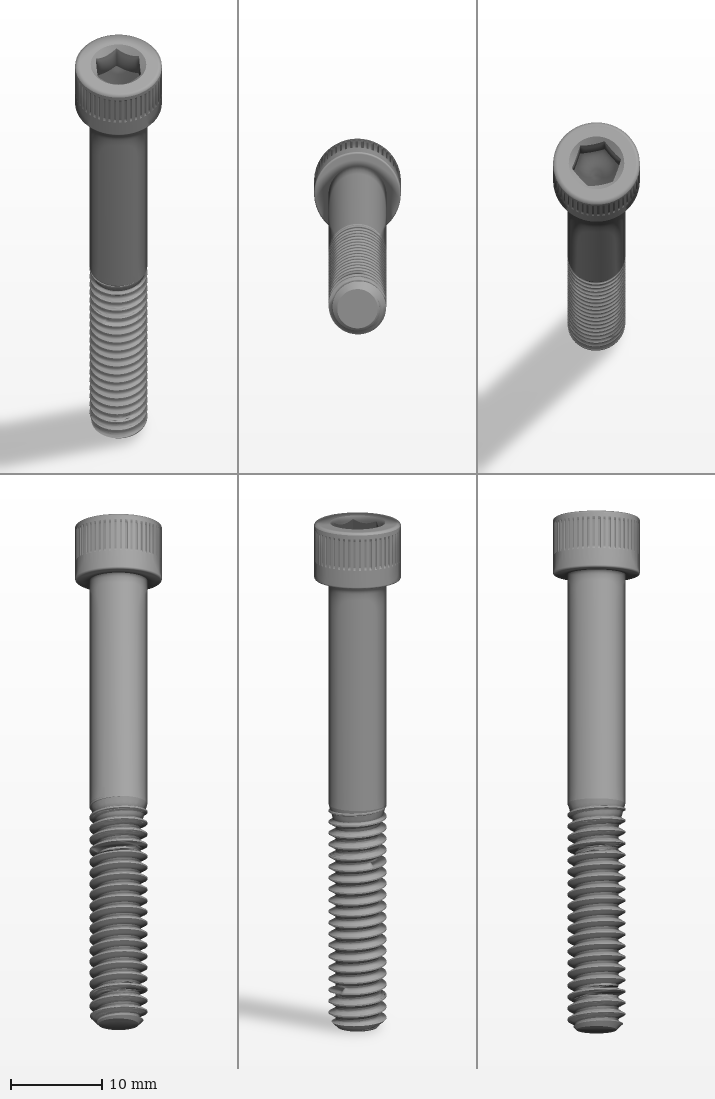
import cadquery as cq
import math

INCH = 25.4

head_diameter = 0.375 * INCH
head_height = 0.25 * INCH
head_top_round_width = 0.43
head_top_round_height = 0.25
head_bottom_fillet = 0.2

knurl_count = 50
knurl_start_angle = 90
knurl_groove_width = 0.25
knurl_groove_depth = 0.15
knurl_ramp_length = 0.3
knurl_bottom = 2.1
knurl_top_margin = 0.7
knurl_top = head_height - knurl_top_margin

socket_hexagon_turn = 30
socket_across_flats = 3 / 16 * INCH
socket_depth = 0.12 * INCH
socket_mouth_diameter = 6.1
socket_mouth_half_angle = 45
socket_floor_half_angle = 59

shank_diameter = 0.25 * INCH
shank_length = 2 * INCH
thread_length = 1 * INCH
tip_chamfer = 0.95
pitch = INCH / 20
thread_depth = 0.6134 * pitch
thread_flank_angle = 30
crest_width = pitch / 8
runout_start = 0.15
runout_length = 2.7
groove_start_lead = 0.69 * pitch
cutter_overlap = 0.1

head_radius = head_diameter / 2
shank_radius = shank_diameter / 2
root_radius = shank_radius - thread_depth
tip_z = -shank_length
thread_top_z = tip_z + thread_length


def revolve_profile(half_profile):
    """Turn a closed outline of (radius, z) points about the screw axis."""
    return cq.Workplane("XZ").polyline(half_profile).close().revolve(360, (0, 0), (0, 1))


def make_head():
    """Plain head with a shallow round at the top edge and a small fillet at the bottom edge."""
    blank = (
        cq.Workplane("XZ")
        .moveTo(0, head_height)
        .lineTo(head_radius - head_top_round_width, head_height)
        .tangentArcPoint((head_radius, head_height - head_top_round_height), relative=False)
        .lineTo(head_radius, 0)
        .lineTo(0, 0)
        .close()
        .revolve(360, (0, 0), (0, 1))
    )
    return blank.faces("<Z").edges().fillet(head_bottom_fillet)


def make_knurl_grooves():
    """Flat-bottomed grooves whose floors ramp out to the head surface at both ends."""
    floor_radius = head_radius - knurl_groove_depth
    outer_radius = head_radius + knurl_groove_depth
    groove = (
        cq.Workplane("XZ", origin=(0, knurl_groove_width / 2, 0))
        .polyline([
            (outer_radius, knurl_bottom - knurl_ramp_length),
            (floor_radius, knurl_bottom + knurl_ramp_length),
            (floor_radius, knurl_top - knurl_ramp_length),
            (outer_radius, knurl_top + knurl_ramp_length),
        ])
        .close()
        .extrude(knurl_groove_width)
    )
    grooves = cq.Workplane("XY")
    for index in range(knurl_count):
        angle = knurl_start_angle + index * 360 / knurl_count
        grooves.add(groove.rotate((0, 0, 0), (0, 0, 1), angle))
    return cq.Workplane(cq.Compound.makeCompound(grooves.vals()))


def make_socket():
    """Hexagon with a cone-shaped floor and a conical mouth."""
    corner_radius = socket_across_flats / math.sqrt(3)
    floor_z = head_height - socket_depth
    floor_height = corner_radius / math.tan(math.radians(socket_floor_half_angle))
    mouth_radius = socket_mouth_diameter / 2
    mouth_height = mouth_radius / math.tan(math.radians(socket_mouth_half_angle))

    hexagon = (
        cq.Workplane("XY", origin=(0, 0, floor_z - floor_height))
        .polygon(6, 2 * corner_radius)
        .extrude(socket_depth + floor_height)
        .rotate((0, 0, 0), (0, 0, 1), socket_hexagon_turn)
    )
    pointed_rod = revolve_profile([
        (0, floor_z - floor_height),
        (corner_radius, floor_z),
        (head_radius, floor_z),
        (head_radius, head_height),
        (0, head_height),
    ])
    mouth = revolve_profile([
        (0, head_height - mouth_height),
        (mouth_radius, head_height),
        (0, head_height),
    ])
    return hexagon.intersect(pointed_rod).union(mouth)


def make_shank():
    """Plain cylinder below the head, chamfered at the tip."""
    half_profile = [
        (0, 0),
        (shank_radius, 0),
        (shank_radius, tip_z + tip_chamfer),
        (shank_radius - tip_chamfer, tip_z),
        (0, tip_z),
    ]
    return revolve_profile(half_profile)


def make_runout_flare():
    """Cone and collar that hold material where the thread groove fades into the shank."""
    flare_top_z = thread_top_z - runout_start
    outer_radius = shank_radius + cutter_overlap
    runout_slope = thread_depth / runout_length
    return revolve_profile([
        (0, flare_top_z - shank_radius / runout_slope),
        (outer_radius, flare_top_z + cutter_overlap / runout_slope),
        (outer_radius, 0),
        (0, 0),
    ])


def make_thread_groove():
    """Right-hand helical cutter for the space between neighbouring thread crests."""
    slope = math.tan(math.radians(thread_flank_angle))
    crest_half_gap = (pitch - crest_width) / 2
    outer_half_width = crest_half_gap + cutter_overlap * slope
    root_half_width = crest_half_gap - thread_depth * slope
    outer_radius = shank_radius + cutter_overlap
    start_z = tip_z - groove_start_lead
    groove_length = thread_length + pitch

    path = cq.Wire.makeHelix(pitch, groove_length, shank_radius, center=cq.Vector(0, 0, start_z))
    return (
        cq.Workplane("XZ")
        .polyline([
            (root_radius, start_z - root_half_width),
            (outer_radius, start_z - outer_half_width),
            (outer_radius, start_z + outer_half_width),
            (root_radius, start_z + root_half_width),
        ])
        .close()
        .sweep(cq.Workplane(path), isFrenet=True)
    )


head = make_head().cut(make_knurl_grooves()).cut(make_socket())
shank = make_shank()
runout = make_runout_flare().intersect(shank)
threaded_shank = shank.cut(make_thread_groove(), clean=False).union(runout, clean=False)
result = head.union(threaded_shank, clean=False).solids()